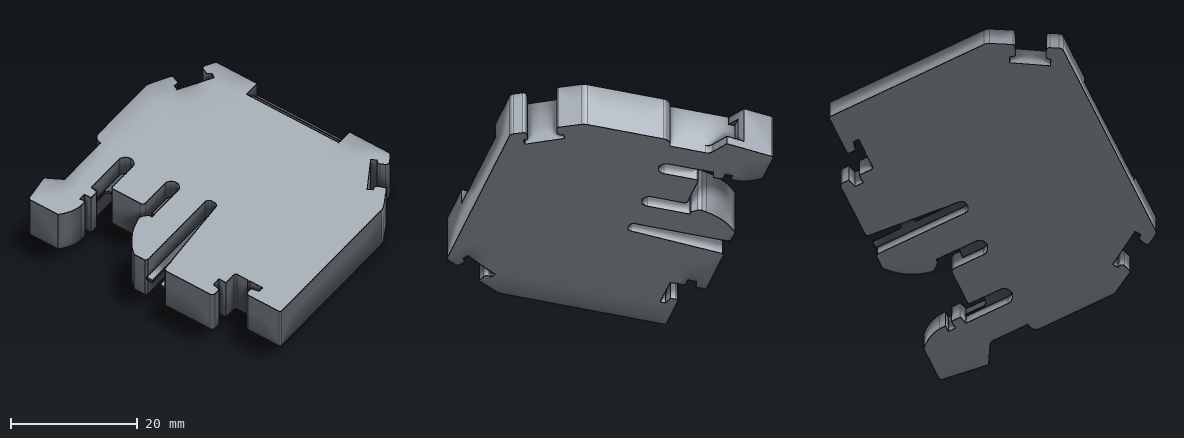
import cadquery as cq
import math

LENGTH = 47.85
HEIGHT = 41.5
THICKNESS = 8.0

BODY_LEFT = 1.75
BODY_CENTER = (BODY_LEFT + LENGTH) / 2
SHOULDER_TOP = 31.15
SHOULDER_BOTTOM = 16.55
SHOULDER_ROUND = 1.5

LEG_LEFT = BODY_LEFT + SHOULDER_ROUND
LEVER_SLOPE = math.tan(math.radians(30))
LEVER_TIP_Y = 8.1
LEVER_THICKNESS = 1.5
LEVER_FILLET = 1.2
LEG_FOOT_X = 1.1
LEG_LEAN = LEG_FOOT_X / LEVER_TIP_Y
LEG_STEP_Y = 6.8
UNDERCUT_Y = 5.8
UNDERCUT_ROOF = THICKNESS - LEVER_THICKNESS

SLOT_TOP = 16.55
LEFT_SLOT = (7.75, 10.4)
RIGHT_SLOT = (16.7, 19.25)
TONGUE_BOTTOM = 9.55
RAIL_Y = 6.0

RIB_X = 39.75
RIB_WIDTH = 0.45
RIB_HEIGHT = 0.25

WEB_THICKNESS = 0.5
WEB_BOTTOM = 11.7
WEB_INSET = 0.2
WEB_ROUND = 0.6

WEDGE_LEFT = 24.15
WEDGE_TOP_RIGHT = 26.1
WEDGE_BOTTOM_RIGHT = 27.5
WEDGE_ROUND = 0.7
WEDGE_MOUTH_CHAMFER = 0.35
WINDOW_LEFT = 25.3
WINDOW_WIDTH = 1.5
WINDOW_BOTTOM = 7.3
WINDOW_TOP = 15.98
MOUTH_TOP = 5.35

RECESS_WIDTH = 17.95
RECESS_REACH = 2.9
RECESS_DEPTH = 1.7
LIP_DEPTH = 2.7
LIP_REACH = 0.45
SLOPE_REACH = 1.25

SMALLEST_EDGE = 0.0005


def rounded_outline(corners):
    """Closed wire through (x, y, radius) corners, each rounded by its radius."""
    starts = []
    crowns = []
    ends = []
    for i, (x, y, radius) in enumerate(corners):
        corner = cq.Vector(x, y)
        following = corners[(i + 1) % len(corners)]
        to_last = (cq.Vector(*corners[i - 1][:2]) - corner).normalized()
        to_next = (cq.Vector(*following[:2]) - corner).normalized()
        half_angle = to_last.getAngle(to_next) / 2
        tangent = radius / math.tan(half_angle)
        crown_offset = radius / math.sin(half_angle) - radius
        starts.append(corner + to_last * tangent)
        crowns.append(corner + (to_last + to_next).normalized() * crown_offset)
        ends.append(corner + to_next * tangent)

    wire = cq.Workplane("XY").moveTo(starts[0].x, starts[0].y)
    here = starts[0]
    for start, crown, end in zip(starts, crowns, ends):
        if (start - here).Length > SMALLEST_EDGE:
            wire = wire.lineTo(start.x, start.y)
        if (end - start).Length > SMALLEST_EDGE:
            wire = wire.threePointArc((crown.x, crown.y), (end.x, end.y))
        here = end
    return wire.close()


def prism(corners, bottom=0.0, top=THICKNESS):
    return rounded_outline(corners).extrude(top - bottom).translate((0, 0, bottom))


def latch_corners():
    """Left clip notch from the top edge down to the side wall."""
    return [
        (7.8, HEIGHT, 0.85),
        (6.55, 39.3, 0.55),
        (8.15, 38.5, 0.45),
        (8.7, 39.1, 0),
        (9.55, 38.55, 0),
        (6.25, 33.0, 0),
        (5.45, 33.5, 0),
        (5.75, 34.4, 0.57),
        (3.9, 35.0, 0.35),
        (BODY_LEFT, SHOULDER_TOP, 1.85),
    ]


def mirrored(corners):
    return [(2 * BODY_CENTER - x, y, radius) for x, y, radius in reversed(corners)]


def leg_step_y(x):
    """Height of the sloped shoulder on the full-thickness leg."""
    return LEG_STEP_Y - LEVER_SLOPE * (LEG_LEFT - x)


def body():
    step_x = (LEVER_TIP_Y - LEG_STEP_Y + LEVER_SLOPE * LEG_LEFT) / (1 / LEG_LEAN + LEVER_SLOPE)
    left_leg = [
        (BODY_LEFT, SHOULDER_BOTTOM, SHOULDER_ROUND),
        (LEG_LEFT, SHOULDER_BOTTOM, 0),
        (LEG_LEFT, LEG_STEP_Y, 0),
        (step_x, leg_step_y(step_x), 0),
        (LEG_FOOT_X, 0, 0.5),
        (6.9, 0, 0),
        (8.45, 1.55, 6.2),
        (8.75, 3.75, 0),
        (8.75, 4.8, 0),
        (LEFT_SLOT[0], 4.8, 0),
        (LEFT_SLOT[0], RAIL_Y, 0),
        (9.05, RAIL_Y, 0),
        (9.05, 7.55, 0.15),
        (LEFT_SLOT[0], 7.9, 0),
    ]
    slots = [
        (LEFT_SLOT[0], SLOT_TOP, 1.3),
        (LEFT_SLOT[1], SLOT_TOP, 1.3),
        (LEFT_SLOT[1], TONGUE_BOTTOM, 0.3),
        (RIGHT_SLOT[0], TONGUE_BOTTOM, 0.57),
        (RIGHT_SLOT[0], SLOT_TOP, 1.25),
        (RIGHT_SLOT[1], SLOT_TOP, 1.25),
    ]
    middle_foot = [
        (RIGHT_SLOT[1], 8.27, 0),
        (18.65, 8.27, 0.25),
        (17.65, 7.15, 0.7),
        (18.8, 2.45, 11.0),
        (21.7, 0, 0),
    ]
    right_foot = [
        (37.1, 0, 0.57),
        (37.1, 1.67, 0),
        (35.75, 2.05, 0.15),
        (35.75, 3.5, 0),
        (37.1, 3.5, 0),
        (37.1, RAIL_Y, 0.4),
        (RIB_X - RIB_WIDTH / 2, RAIL_Y, 0),
        (RIB_X, RAIL_Y - RIB_HEIGHT, 0),
        (RIB_X + RIB_WIDTH / 2, RAIL_Y, 0),
        (42.43, RAIL_Y, 0),
        (42.43, 5.05, 0),
        (41.05, 4.75, 0),
        (41.05, 3.35, 0.55),
        (LENGTH, 3.35, 0.35),
    ]
    return prism(latch_corners() + left_leg + slots + middle_foot + right_foot + mirrored(latch_corners()))


def lever():
    root_x = LEG_LEFT + 0.95
    return prism([
        (root_x, 11.95, 0),
        (LEG_LEFT, 11.95, 0),
        (LEG_LEFT, LEVER_TIP_Y + LEVER_SLOPE * LEG_LEFT, LEVER_FILLET),
        (0, LEVER_TIP_Y, 0),
        (LEG_LEAN * 3.85, LEVER_TIP_Y - 3.85, 0),
        (root_x, LEVER_TIP_Y - 3.85, 0),
    ], top=LEVER_THICKNESS)


def lever_undercut():
    return cq.Workplane("XY").box(
        LEG_LEFT, LEG_STEP_Y - UNDERCUT_Y, UNDERCUT_ROOF - LEVER_THICKNESS, centered=False
    ).translate((0, UNDERCUT_Y, LEVER_THICKNESS))


def wedge_slot():
    return prism([
        (WEDGE_LEFT - WEDGE_MOUTH_CHAMFER, 0, 0),
        (WEDGE_LEFT, WEDGE_MOUTH_CHAMFER, 0),
        (WEDGE_LEFT, SLOT_TOP, WEDGE_ROUND),
        (WEDGE_TOP_RIGHT, SLOT_TOP, WEDGE_ROUND),
        (WEDGE_BOTTOM_RIGHT, WEDGE_MOUTH_CHAMFER, 0),
        (WEDGE_BOTTOM_RIGHT + WEDGE_MOUTH_CHAMFER, 0, 0),
    ])


def web_layer(corners):
    bottom = (THICKNESS - WEB_THICKNESS) / 2
    return prism(corners, bottom, bottom + WEB_THICKNESS)


def rail_web():
    """Web closing the upper ends of the two round slots."""
    web_left = LEFT_SLOT[0] - 0.5
    edge = LEFT_SLOT[0] + WEB_INSET
    return web_layer([
        (web_left, 7.9, 0),
        (edge, 7.9, 0),
        (edge, WEB_BOTTOM, WEB_ROUND),
        (RIGHT_SLOT[1] + 0.5, WEB_BOTTOM, 0),
        (RIGHT_SLOT[1] + 0.5, SLOT_TOP + 0.5, 0),
        (web_left, SLOT_TOP + 0.5, 0),
    ])


def wedge_web():
    """Web across the wedge slot, with a closed window and an open mouth."""
    web = wedge_slot().intersect(web_layer([
        (WEDGE_LEFT, 0, 0),
        (WEDGE_BOTTOM_RIGHT + 0.5, 0, 0),
        (WEDGE_BOTTOM_RIGHT + 0.5, SLOT_TOP, 0),
        (WEDGE_LEFT, SLOT_TOP, 0),
    ]))
    right = WINDOW_LEFT + WINDOW_WIDTH
    end_round = 0.49 * WINDOW_WIDTH
    window = prism([
        (WINDOW_LEFT, WINDOW_BOTTOM, end_round),
        (right, WINDOW_BOTTOM, end_round),
        (right, WINDOW_TOP, end_round),
        (WINDOW_LEFT, WINDOW_TOP, end_round),
    ])
    mouth = prism([
        (WINDOW_LEFT, 0, 0),
        (right, 0, 0),
        (right, MOUTH_TOP, end_round),
        (WINDOW_LEFT, MOUTH_TOP, end_round),
    ])
    return web.cut(window).cut(mouth)


def label_recess():
    return (
        cq.Workplane("YZ")
        .polyline([
            (HEIGHT - RECESS_REACH, THICKNESS),
            (HEIGHT - RECESS_REACH, THICKNESS - RECESS_DEPTH),
            (HEIGHT - SLOPE_REACH, THICKNESS - RECESS_DEPTH),
            (HEIGHT - LIP_REACH, THICKNESS - LIP_DEPTH),
            (HEIGHT, THICKNESS - LIP_DEPTH),
            (HEIGHT, THICKNESS),
        ])
        .close()
        .extrude(RECESS_WIDTH / 2, both=True)
        .translate((BODY_CENTER, 0, 0))
    )


result = (
    body()
    .cut(wedge_slot())
    .cut(lever_undercut())
    .cut(label_recess())
    .union(lever())
    .union(rail_web())
    .union(wedge_web())
)